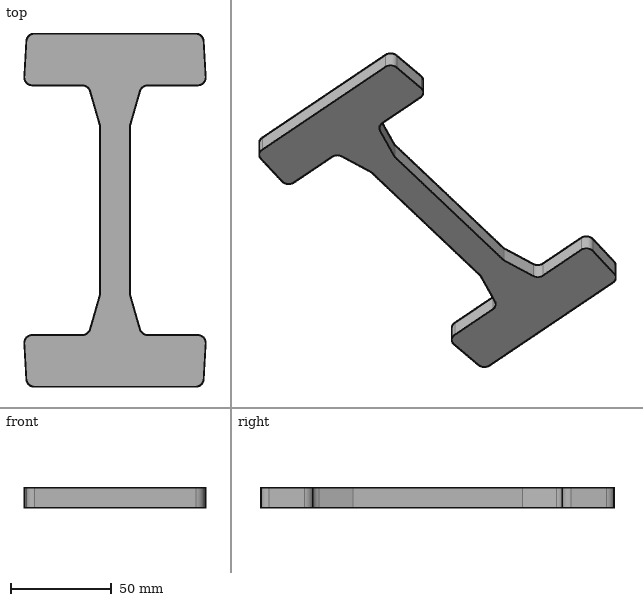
import cadquery as cq

length = 175.0
thickness = 10.0

flange_depth = 25.7
flange_outer_width = 87.5
flange_inner_width = 90.5

web_width = 15.0
web_straight_length = 84.0
flare_width = 26.5

corner_radius = 4.0

end_y = length / 2
flange_inner_y = end_y - flange_depth
web_end_y = web_straight_length / 2

upper_right = [
    (flange_outer_width / 2, end_y),
    (flange_inner_width / 2, flange_inner_y),
    (flare_width / 2, flange_inner_y),
    (web_width / 2, web_end_y),
]
lower_right = [(x, -y) for x, y in reversed(upper_right)]
right_side = upper_right + lower_right
left_side = [(-x, y) for x, y in reversed(right_side)]

plate = cq.Workplane("XY").polyline(right_side + left_side).close().extrude(thickness)

web_edges = cq.selectors.BoxSelector(
    (-length, -flange_inner_y + corner_radius, -thickness),
    (length, flange_inner_y - corner_radius, 2 * thickness),
)
upright_edges = cq.selectors.ParallelDirSelector(cq.Vector(0, 0, 1))
result = plate.edges(upright_edges - web_edges).fillet(corner_radius)